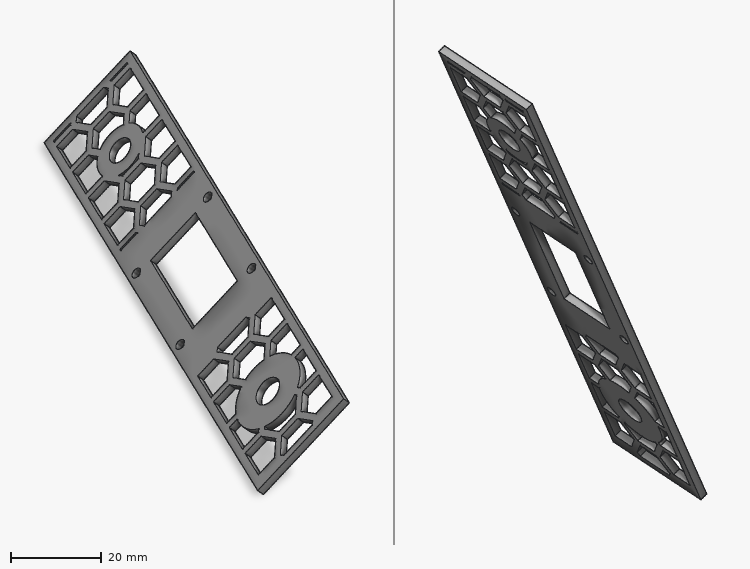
import cadquery as cq
import math

length = 148.6
width = 28.5
thickness = 2.0
tilt_angle = 45.0

opening_length = 29.1
opening_width = 14.9
screw_hole_diameter = 2.5
screw_spacing_x = 30.5
screw_spacing_y = 23.6

cell_pitch = 11.0
cell_flats = 9.2
cell_radius = cell_flats / math.sqrt(3)
row_pitch = cell_pitch * math.sqrt(3) / 2
middle_row_cells = 5

panel_width = 24.4
left_panel_x = -48.7
left_panel_length = 46.8
left_outer_row_cells = 6
right_panel_x = 49.3
right_panel_length = 46.0
right_outer_row_cells = 4

left_boss_x = -51.4
left_boss_diameter = 13.8
left_bore_diameter = 6.4
right_boss_x = 51.4
right_boss_diameter = 19.3
right_bore_diameter = 7.0


def slab(center_x, size_x, size_y):
    """Rectangular block through the full plate thickness."""
    return cq.Workplane("XY").center(center_x, 0).rect(size_x, size_y).extrude(thickness)


def disc(center_x, diameter):
    """Round block through the full plate thickness."""
    return cq.Workplane("XY").center(center_x, 0).circle(diameter / 2).extrude(thickness)


def hexagon_cell(center_x, center_y):
    """Hexagonal block with two of its corners pointing across the plate."""
    angles = [math.radians(30 + 60 * corner) for corner in range(6)]
    corners = [
        (center_x + cell_radius * math.cos(angle), center_y + cell_radius * math.sin(angle))
        for angle in angles
    ]
    return cq.Workplane("XY").polyline(corners).close().extrude(thickness)


def cut_honeycomb(plate, panel_x, panel_length, outer_row_cells):
    """Cut three staggered rows of cells, each trimmed to the rectangular panel."""
    panel = slab(panel_x, panel_length, panel_width)
    row_cells = {-1: outer_row_cells, 0: middle_row_cells, 1: outer_row_cells}
    for row, cell_count in row_cells.items():
        for column in range(cell_count):
            cell_x = panel_x + (column - (cell_count - 1) / 2) * cell_pitch
            plate = plate.cut(hexagon_cell(cell_x, row * row_pitch).intersect(panel))
    return plate


def add_boss(plate, center_x, outer_diameter, bore_diameter):
    """Fill a disc into the honeycomb and bore a hole through its centre."""
    return plate.union(disc(center_x, outer_diameter)).cut(disc(center_x, bore_diameter))


plate = slab(0, length, width)
plate = cut_honeycomb(plate, left_panel_x, left_panel_length, left_outer_row_cells)
plate = cut_honeycomb(plate, right_panel_x, right_panel_length, right_outer_row_cells)
plate = add_boss(plate, left_boss_x, left_boss_diameter, left_bore_diameter)
plate = add_boss(plate, right_boss_x, right_boss_diameter, right_bore_diameter)

plate = plate.cut(slab(0, opening_length, opening_width))
screw_holes = (
    cq.Workplane("XY")
    .rect(screw_spacing_x, screw_spacing_y, forConstruction=True)
    .vertices()
    .circle(screw_hole_diameter / 2)
    .extrude(thickness)
)
plate = plate.cut(screw_holes)

result = plate.translate((0, 0, -thickness / 2)).rotate((0, 0, 0), (1, 0, 0), tilt_angle)